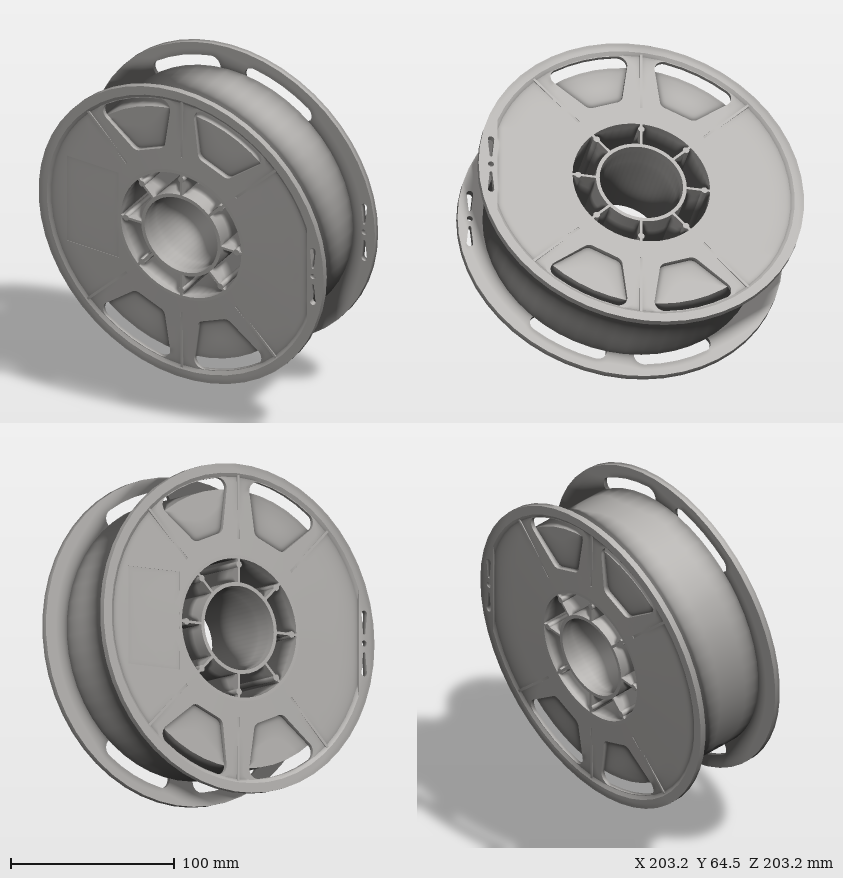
import cadquery as cq
import math


flange_diameter = 203.2
spool_width = 64.5
flange_thickness = 3.9
half_width = spool_width / 2
inner_half_width = half_width - flange_thickness

hub_outer_diameter = 90.2
hub_bore_diameter = 86.0
core_outer_diameter = 56.7
core_bore_diameter = 52.0

web_count = 8
web_thickness = 1.6
pin_diameter = 4.0
pin_circle_radius = 39.5

dish_rim_radius = 95.7
dish_floor_radius = 93.5
dish_depth = 1.5
dish_flat_x = 89.8

rib_angles = [45, 90, 135, 225, 270, 315]
rib_thickness = 1.6
rib_start_radius = 55.0
rib_top_depth = 0.6

window_angles = [67.5, 112.5, 247.5, 292.5]
window_inner_radius = 58.5
window_outer_radius = 93.0
window_side_angle = 30.0
window_inner_half_width = 11.2
window_inner_fillet = 5.0
window_outer_fillet = 6.0

end_hole_x = 93.9
end_hole_diameter = 3.7
slot_wide_radius = 2.0
slot_wide_z = 18.3
slot_narrow_radius = 0.8
slot_narrow_z = 6.3

label_left_x = -82.0
label_right_x = -44.7
label_height = 60.5
label_depth = 0.2

filament_diameter = 172.1


def cylinder(diameter, half_length):
    """Cylinder on the Y axis, centred on the origin."""
    start = cq.Workplane("XZ", origin=(0, half_length, 0))
    return start.circle(diameter / 2).extrude(2 * half_length)


def prism_through(sketch):
    """Closed XZ outline extruded through the full spool width."""
    return sketch.extrude(spool_width, both=True)


def turn(body, angle):
    """Turn a body about the spool axis, from +X towards +Z."""
    return body.rotate((0, 0, 0), (0, 1, 0), -angle)


def dish_floor_y(radius):
    """Y of the conical dish floor, flush with the hub face at the hub."""
    hub_radius = hub_outer_diameter / 2
    slope = dish_depth / (dish_floor_radius - hub_radius)
    return -half_width + slope * (radius - hub_radius)


def front_dish():
    """Material removed to dish the front flange, with the ribs left in place."""
    dish = (
        cq.Workplane("XY")
        .moveTo(hub_outer_diameter / 2, -half_width)
        .lineTo(dish_floor_radius, dish_floor_y(dish_floor_radius))
        .lineTo(dish_rim_radius, -half_width)
        .close()
        .revolve(360, (0, 0, 0), (0, 1, 0))
    )

    beyond_flat = cq.Workplane("XY").box(flange_diameter, 2 * spool_width, flange_diameter)
    dish = dish.cut(beyond_flat.translate((dish_flat_x + flange_diameter / 2, 0, 0)))

    rib_length = dish_rim_radius - rib_start_radius
    rib_top_y = -half_width + rib_top_depth
    rib = (
        cq.Workplane("XZ", origin=(rib_start_radius + rib_length / 2, rib_top_y, 0))
        .rect(rib_length, rib_thickness)
        .extrude(-flange_thickness)
    )
    sunk_length = dish_floor_radius - rib_start_radius
    sunk_groove = (
        cq.Workplane("XZ", origin=(rib_start_radius + sunk_length / 2, rib_top_y, 0))
        .rect(sunk_length, rib_thickness)
        .extrude(rib_top_depth)
    )
    for angle in rib_angles:
        dish = dish.cut(turn(rib, angle)).union(turn(sunk_groove, angle))
    return dish


def label_pocket():
    """Shallow pocket that follows the conical floor of the front dish."""
    hub_radius = hub_outer_diameter / 2
    floor_layer = (
        cq.Workplane("XY")
        .moveTo(hub_radius, -half_width)
        .lineTo(dish_floor_radius, dish_floor_y(dish_floor_radius))
        .lineTo(dish_floor_radius, dish_floor_y(dish_floor_radius) + label_depth)
        .lineTo(hub_radius, -half_width + label_depth)
        .close()
        .revolve(360, (0, 0, 0), (0, 1, 0))
    )
    label_width = label_right_x - label_left_x
    outline = cq.Workplane("XY").box(label_width, 2 * spool_width, label_height)
    return floor_layer.intersect(outline.translate((label_left_x + label_width / 2, 0, 0)))


def window():
    """Tapered window along +X with an outer edge concentric to the spool."""
    widening = math.tan(math.radians(window_side_angle))
    far_x = flange_diameter / 2
    far_half_width = window_inner_half_width + widening * (far_x - window_inner_radius)
    wedge = prism_through(
        cq.Workplane("XZ").polyline([
            (window_inner_radius, -window_inner_half_width),
            (far_x, -far_half_width),
            (far_x, far_half_width),
            (window_inner_radius, window_inner_half_width),
        ]).close()
    )
    shape = wedge.intersect(cylinder(2 * window_outer_radius, spool_width))
    shape = shape.edges("|Y").edges(">X").fillet(window_outer_fillet)
    return shape.edges("|Y").edges("<X").fillet(window_inner_fillet)


def filament_slot():
    """Teardrop slot that narrows towards the flange centreline."""
    spacing = slot_wide_z - slot_narrow_z
    lean = (slot_wide_radius - slot_narrow_radius) / spacing
    flank = math.sqrt(1 - lean**2)
    wide_z = slot_wide_z - slot_wide_radius * lean
    narrow_z = slot_narrow_z - slot_narrow_radius * lean
    wide_x = slot_wide_radius * flank
    narrow_x = slot_narrow_radius * flank
    return prism_through(
        cq.Workplane("XZ", origin=(end_hole_x, 0, 0))
        .moveTo(-narrow_x, narrow_z)
        .lineTo(-wide_x, wide_z)
        .threePointArc((0, slot_wide_z + slot_wide_radius), (wide_x, wide_z))
        .lineTo(narrow_x, narrow_z)
        .threePointArc((0, slot_narrow_z - slot_narrow_radius), (-narrow_x, narrow_z))
        .close()
    )


def make_spool():
    gap = cylinder(2 * flange_diameter, inner_half_width)
    gap = gap.cut(cylinder(hub_outer_diameter, inner_half_width))
    spool = cylinder(flange_diameter, half_width).cut(gap)

    dish = front_dish()
    spool = spool.cut(dish).cut(dish.mirror("XZ")).cut(label_pocket())

    for angle in window_angles:
        spool = spool.cut(turn(window(), angle))
    slot = filament_slot()
    end_hole = prism_through(cq.Workplane("XZ").center(end_hole_x, 0).circle(end_hole_diameter / 2))
    spool = spool.cut(end_hole).cut(slot).cut(slot.mirror("XY"))

    spool = spool.cut(cylinder(hub_bore_diameter, spool_width))
    core = cylinder(core_outer_diameter, half_width)
    web_length = (hub_bore_diameter + hub_outer_diameter) / 4
    web = cq.Workplane("XY").box(web_length, spool_width, web_thickness).translate((web_length / 2, 0, 0))
    pin = cylinder(pin_diameter, half_width).translate((pin_circle_radius, 0, 0))
    for index in range(web_count):
        angle = index * 360 / web_count
        core = core.union(turn(web, angle)).union(turn(pin, angle))
    core = core.cut(cylinder(core_bore_diameter, spool_width))
    return spool.union(core)


def make_filament():
    winding = cylinder(filament_diameter, inner_half_width)
    return winding.cut(cylinder(hub_outer_diameter, spool_width))


spool = make_spool().solids()
filament = make_filament().solids()

result = cq.Compound.makeCompound([spool.val(), filament.val()])